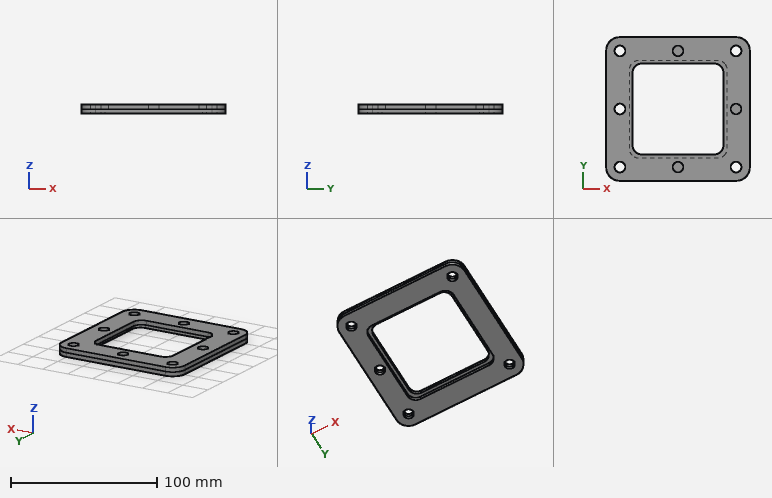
import cadquery as cq

frame_side = 98.4
stack_height = 6.4
corner_radius = 9.5
upper_window_side = 62.0
lower_window_setback = 2.4
window_corner_radius = 6.4
hole_diameter = 7.2

plate_thickness = stack_height / 2
lower_window_side = upper_window_side + 2 * lower_window_setback
hole_offset = frame_side / 2 - corner_radius

corner_points = [(x, y) for x in (-hole_offset, hole_offset) for y in (-hole_offset, hole_offset)]
left_point = (-hole_offset, 0)
other_side_points = [(hole_offset, 0), (0, -hole_offset), (0, hole_offset)]


def rounded_square(side, radius, base_z):
    """Square block, one plate thick, with rounded vertical edges."""
    block = cq.Workplane("XY", origin=(0, 0, base_z)).rect(side, side).extrude(plate_thickness)
    return block.edges("|Z").fillet(radius)


def frame_plate(base_z, window_side, hole_points):
    """Square frame with a central window and through holes at the given points."""
    outer = rounded_square(frame_side, corner_radius, base_z)
    window = rounded_square(window_side, window_corner_radius, base_z)
    holes = (
        cq.Workplane("XY", origin=(0, 0, base_z))
        .pushPoints(hole_points)
        .circle(hole_diameter / 2)
        .extrude(plate_thickness)
    )
    return outer.cut(window).cut(holes)


lower_plate = frame_plate(-plate_thickness, lower_window_side, corner_points + [left_point])

upper_plate = frame_plate(0, upper_window_side, corner_points + [left_point] + other_side_points)

result = cq.Compound.makeCompound([lower_plate.val(), upper_plate.val()])